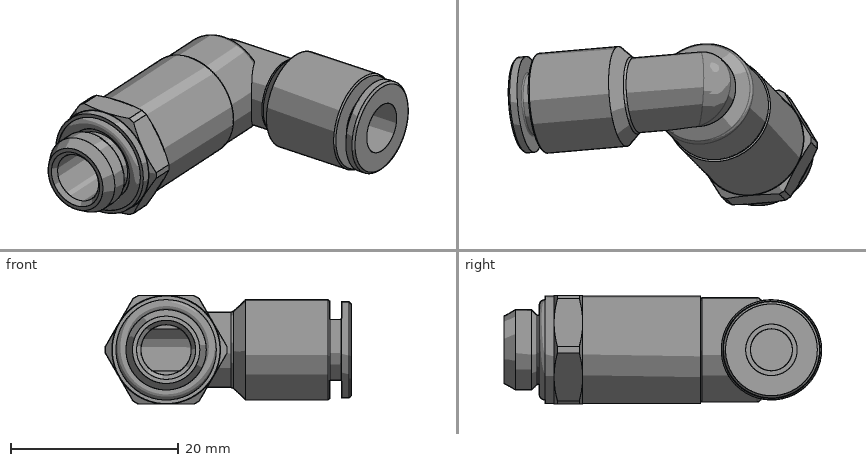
import cadquery as cq
import math

total_length = 38.0
sleeve_radius = 12.0 / 2
arm_axis_y = total_length - sleeve_radius

tip_radius = 4.03
tip_chamfer_end = 1.35
thread_radius = 9.6 / 2
thread_end = 3.3
neck_radius = 8.3 / 2
neck_start = 4.0
ring_width = 1.45
ring_outer_radius = 12.0 / 2
collar_start = 4.95

hex_flats = 13.0
hex_corner_radius = 14.6 / 2
hex_start = 6.0
hex_end = 9.42
hex_chamfer_angle = 27.0
barrel_radius = 12.9 / 2
barrel_end = 23.52

body_radius = 12.5 / 2
body_foot_chamfer = 0.15
shoulder_start = 30.55
shoulder_height = 1.15
shoulder_round = 0.57

arm_radius = 9.0 / 2
corner_blend = 2.6
blend_angle = math.atan2(arm_radius - corner_blend, arm_radius)
corner_sections = 5
flare_start = 7.75
flare_lip_radius = 4.65
flare_lip_end = 8.05
flare_end = 9.5
sleeve_end = 19.57
sleeve_chamfer = 0.2

release_neck_radius = 7.3 / 2
release_radius = 11.5 / 2
release_start = 20.98
release_end = 22.15
release_chamfer = 0.25
release_fillet = 0.15

stem_bore_radius = 6.0 / 2
mouth_radius = 7.05 / 2
mouth_depth = 0.55
arm_bore_radius = 5.0 / 2
tube_socket_radius = 6.15 / 2
tube_stop_x = 9.5


def stem_cylinder(radius, start, end):
    return cq.Workplane("XZ", origin=(0, start, 0)).circle(radius).extrude(start - end)


def arm_cylinder(radius, start, end):
    return cq.Workplane("YZ", origin=(start, arm_axis_y, 0)).circle(radius).extrude(end - start)


def make_stem():
    """Chamfered thread, undercut, half-round sealing ring and the plain barrel."""
    half_section = (
        cq.Workplane("XY")
        .lineTo(tip_radius, 0)
        .lineTo(thread_radius, tip_chamfer_end)
        .lineTo(thread_radius, thread_end)
        .lineTo(neck_radius, neck_start)
        .lineTo(neck_radius, collar_start)
        .lineTo(ring_outer_radius - ring_width, collar_start)
        .threePointArc(
            (ring_outer_radius - ring_width / 2, collar_start - ring_width / 2),
            (ring_outer_radius, collar_start),
        )
        .lineTo(barrel_radius, collar_start)
        .lineTo(barrel_radius, barrel_end)
        .lineTo(0, barrel_end)
        .close()
    )
    return half_section.revolve(360, (0, 0), (0, 1))


def make_hexagon():
    """Hexagon with flats facing +/-Z, trimmed round the corners and bevelled at both ends."""
    prism = (
        cq.Workplane("XZ", origin=(0, hex_start, 0))
        .polygon(6, hex_flats / math.cos(math.radians(30)))
        .extrude(hex_start - hex_end)
    )
    bevel = hex_corner_radius - hex_flats / 2
    bevel_length = bevel * math.tan(math.radians(hex_chamfer_angle))
    envelope = stem_cylinder(hex_corner_radius, hex_start, hex_end)
    envelope = envelope.faces("<Y or >Y").chamfer(bevel_length, bevel)
    return prism.intersect(envelope)


def make_body():
    """Swivel body with a conical shoulder that narrows to the elbow."""
    shoulder_end = shoulder_start + shoulder_height
    half_section = (
        cq.Workplane("XY")
        .moveTo(0, barrel_end)
        .lineTo(body_radius - body_foot_chamfer, barrel_end)
        .lineTo(body_radius, barrel_end + body_foot_chamfer)
        .lineTo(body_radius, shoulder_start)
        .lineTo(arm_radius, shoulder_end)
        .lineTo(0, shoulder_end)
        .close()
    )
    body = half_section.revolve(360, (0, 0), (0, 1))
    shoulder_edge = cq.selectors.NearestToPointSelector((0, shoulder_start, 0))
    return body.edges(shoulder_edge).fillet(shoulder_round)


def corner_reach(angle):
    """Mid-height distance from the elbow pivot to the rounded corner; angle rises from -X."""
    off_diagonal = angle - math.pi / 4
    arc_center = math.sqrt(2) * (arm_radius - corner_blend)
    across = arc_center * math.sin(off_diagonal)
    return arc_center * math.cos(off_diagonal) + math.sqrt(corner_blend**2 - across**2)


def make_rounded_corner():
    """Loft of half ellipses that turn about the pivot, from the stem tube to the arm tube."""
    pivot = cq.Vector(0, arm_axis_y, 0)
    angle_step = (math.pi / 2 - 2 * blend_angle) / (corner_sections - 1)
    sections = []
    for index in range(corner_sections):
        angle = blend_angle + index * angle_step
        outward = cq.Vector(-math.cos(angle), math.sin(angle), 0)
        normal = outward.cross(cq.Vector(0, 0, 1))
        arc = cq.Edge.makeEllipse(corner_reach(angle), arm_radius, pivot, normal, outward, -90, 90)
        chord = cq.Edge.makeLine(arc.endPoint(), arc.startPoint())
        sections.append(cq.Wire.assembleEdges([arc, chord]))
    return cq.Workplane("XY").add(cq.Solid.makeLoft(sections))


def beyond_blend(corners):
    """Full-height block over a triangle given relative to the pivot, enclosing one tube's end."""
    base = cq.Workplane("XY", origin=(0, arm_axis_y, -arm_radius))
    return base.polyline([(0, 0)] + corners).close().extrude(2 * arm_radius)


def make_elbow():
    """Stem and arm tubes of equal radius, joined by a corner whose rounding fades to the pivot."""
    blend_rise = arm_radius * math.tan(blend_angle)
    stem_end = stem_cylinder(arm_radius, arm_axis_y, arm_axis_y + arm_radius).intersect(
        beyond_blend([(-arm_radius, 0), (-arm_radius, blend_rise)])
    )
    arm_end = arm_cylinder(arm_radius, -arm_radius, 0).intersect(
        beyond_blend([(0, arm_radius), (-blend_rise, arm_radius)])
    )
    outer_corner = stem_end.union(make_rounded_corner()).union(arm_end)
    stem_tube = stem_cylinder(arm_radius, shoulder_start, arm_axis_y)
    arm_tube = arm_cylinder(arm_radius, 0, flare_start)
    return stem_tube.union(arm_tube).union(outer_corner)


def make_arm_end():
    """Flared sleeve and the release ring standing off its open end."""
    ring_edge = release_radius - release_chamfer
    half_section = (
        cq.Workplane("XY", origin=(0, arm_axis_y, 0))
        .moveTo(flare_start, 0)
        .lineTo(flare_start, arm_radius)
        .lineTo(flare_lip_end, flare_lip_radius)
        .lineTo(flare_end, sleeve_radius)
        .lineTo(sleeve_end - sleeve_chamfer, sleeve_radius)
        .lineTo(sleeve_end, sleeve_radius - sleeve_chamfer)
        .lineTo(sleeve_end, release_neck_radius)
        .lineTo(release_start - release_fillet, release_neck_radius)
        .radiusArc((release_start, release_neck_radius + release_fillet), -release_fillet)
        .lineTo(release_start, release_radius)
        .lineTo(release_end - release_chamfer, release_radius)
        .lineTo(release_end, ring_edge)
        .lineTo(release_end, 0)
        .close()
    )
    return half_section.revolve(360, (0, 0), (1, 0))


def make_passages():
    """Stem bore with a countersunk mouth, meeting the arm bore and its tube socket."""
    mouth = cq.Workplane("XY").add(
        cq.Solid.makeCone(mouth_radius, stem_bore_radius, mouth_depth, cq.Vector(), cq.Vector(0, 1, 0))
    )
    return (
        stem_cylinder(stem_bore_radius, 0, arm_axis_y)
        .union(mouth)
        .union(arm_cylinder(arm_bore_radius, -stem_bore_radius, release_end))
        .union(arm_cylinder(tube_socket_radius, tube_stop_x, release_end))
    )


result = (
    make_stem()
    .union(make_hexagon())
    .union(make_body())
    .union(make_elbow())
    .union(make_arm_end())
    .cut(make_passages())
)